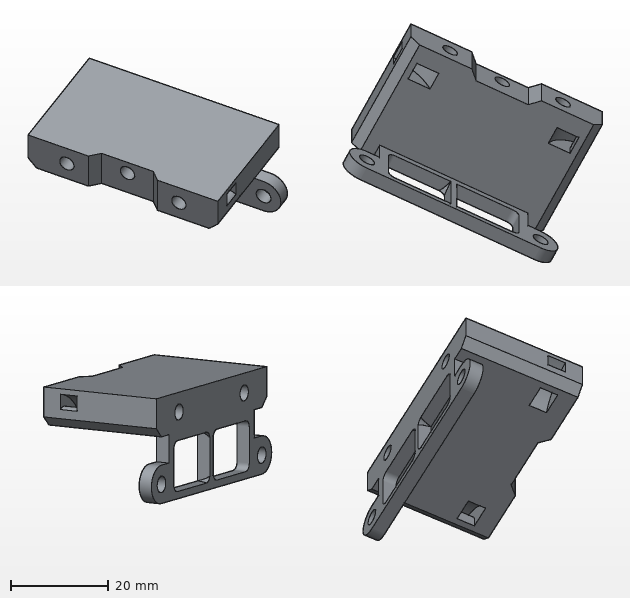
import cadquery as cq
import math

overall_width = 48.0
overall_depth = 27.0
overall_height = 22.2

block_width = 44.1
block_height = 8.25
block_chamfer = 2.0

notch_width = 12.0
notch_depth = 2.0

hole_diameter = 3.3
side_hole_spacing = 26.0
centre_hole_drop = 2.95
centre_hole_depth = 10.0

slot_setback = 4.0
slot_width = 4.0
slot_outer_radius = 10.75
slot_outer_offset = 1.75
slot_outer_drop = 11.75
slot_core_radius = 2.05
slot_core_inset = 1.35
slot_core_drop = 5.9

frame_thickness = 3.0
frame_width = 34.15
lug_diameter = 8.0
lug_hole_diameter = 3.4
window_outer_width = 30.05
window_bottom_rail = 1.55
window_height = 10.6
window_corner_radius = 1.5
divider_width = 1.4

SIDES = (-1, 1)

back = overall_depth
frame_front = back - frame_thickness
bottom = -overall_height
block_half = block_width / 2
lug_radius = lug_diameter / 2
lug_x = overall_width / 2 - lug_radius
lug_z = bottom + lug_radius


def box_between(x_range, y_range, z_range):
    """Box spanning the given (low, high) range on each axis."""
    size = [high - low for low, high in (x_range, y_range, z_range)]
    corner = cq.Vector(x_range[0], y_range[0], z_range[0])
    return cq.Workplane("XY").box(*size, centered=False).translate(corner)


def cylinder_along_y(x, z, radius, start, length):
    """Round bar running from y = start towards the back."""
    axis_start = cq.Vector(x, start, z)
    return cq.Workplane(cq.Solid.makeCylinder(radius, length, axis_start, cq.Vector(0, 1, 0)))


def make_block():
    block = box_between((-block_half, block_half), (0, back), (-block_height, 0))
    return block.faces("<Z").edges("|Y").chamfer(block_chamfer)


def make_notch():
    """Trapezoidal recess with 45 degree ends, full height of the block."""
    half_floor = notch_width / 2
    half_mouth = half_floor + notch_depth
    outline = [(-half_mouth, 0), (half_mouth, 0), (half_floor, notch_depth), (-half_floor, notch_depth)]
    return cq.Workplane("XY").polyline(outline).close().extrude(-block_height)


def make_slot(side):
    """Curved passage entering the side of the block and leaving through its underside."""
    outer_x = side * (block_half + slot_outer_offset)
    outer = cylinder_along_y(outer_x, -slot_outer_drop, slot_outer_radius, slot_setback, slot_width)

    core_x = side * (block_half - slot_core_inset)
    crest = cylinder_along_y(core_x, -slot_core_drop, slot_core_radius, slot_setback, slot_width)
    lower_core = box_between(
        sorted((core_x - side * slot_core_radius, side * block_half)),
        (slot_setback, slot_setback + slot_width),
        (-block_height, -slot_core_drop),
    )
    return outer.cut(crest).cut(lower_core)


def make_frame_plate():
    """Web below the block, with a foot rounded into a lug at each end."""
    y_range = (frame_front, back)
    web = box_between((-frame_width / 2, frame_width / 2), y_range, (bottom, -block_height))
    plate = web.union(box_between((-lug_x, lug_x), y_range, (bottom, bottom + lug_diameter)))
    for side in SIDES:
        plate = plate.union(cylinder_along_y(side * lug_x, lug_z, lug_radius, frame_front, frame_thickness))
    return plate


def make_window(side):
    """Window with rounded outer corners; the corners at the divider go from sharp to rounded."""
    inner_x = side * divider_width / 2
    outer_x = side * window_outer_width / 2
    low_z = bottom + window_bottom_rail
    high_z = low_z + window_height
    x_range = sorted((inner_x, outer_x))
    window = box_between(x_range, (frame_front, back), (low_z, high_z))
    outer_face = ">X" if side > 0 else "<X"
    window = window.faces(outer_face).edges("|Y").fillet(window_corner_radius)

    arc_x = inner_x + side * window_corner_radius
    for corner_z, inward in ((low_z, 1), (high_z, -1)):
        arc_z = corner_z + inward * window_corner_radius
        corner_x_range = sorted((inner_x, arc_x))
        corner_z_range = sorted((corner_z, arc_z))
        cone = cq.Solid.makeCone(
            window_corner_radius * math.sqrt(2),
            window_corner_radius,
            frame_thickness,
            cq.Vector(arc_x, frame_front, arc_z),
            cq.Vector(0, 1, 0),
        )
        gusset = box_between(corner_x_range, (frame_front, back), corner_z_range).cut(cq.Workplane(cone))
        window = window.cut(gusset)
    return window


result = make_block().union(make_frame_plate()).cut(make_notch())

result = result.cut(
    cylinder_along_y(0, -centre_hole_drop, hole_diameter / 2, notch_depth, centre_hole_depth)
)

for side in SIDES:
    side_hole_x = side * side_hole_spacing / 2
    result = result.cut(cylinder_along_y(side_hole_x, -block_height / 2, hole_diameter / 2, 0, back))
    result = result.cut(
        cylinder_along_y(side * lug_x, lug_z, lug_hole_diameter / 2, frame_front, frame_thickness)
    )
    result = result.cut(make_window(side))
    result = result.cut(make_slot(side))